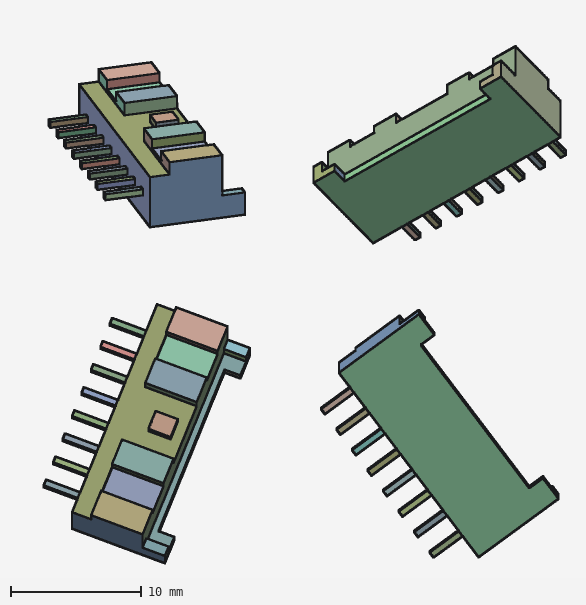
import cadquery as cq

LENGTH = 18.0
HOUSING_DEPTH = 7.67
OVERALL_HEIGHT = 5.3
DECK_HEIGHT = 4.25

MOUTH_DEPTH = 1.84
MOUTH_HEIGHT = 1.89
WALL_THICKNESS = 0.81
FLOOR_THICKNESS = WALL_THICKNESS
FLOOR_NOTCH_DEPTH = 1.31
FLOOR_EAR_WIDTH = 2.02
BODY_DEPTH = HOUSING_DEPTH - MOUTH_DEPTH

BLOCK_WIDTH = 6.55
BLOCK_DEPTH = 4.25
CHANNEL_OFFSET = 2.12
CHANNEL_DEPTH = 0.77
CHANNEL_WIDTH = BLOCK_WIDTH - 2 * CHANNEL_OFFSET

KEY_WIDTH = 1.55
KEY_DEPTH = 1.84
KEY_HEIGHT = 0.58
KEY_FRONT = 3.1

PIN_COUNT = 8
PIN_PITCH = 2.0
PIN_SIZE = 0.5
PIN_LENGTH = 3.02
PIN_CENTRE_HEIGHT = 2.2


def box(width, depth, height, x_centre, y_front, z_bottom):
    """Box centred on x_centre, growing towards +Y and +Z."""
    return (
        cq.Workplane("XY")
        .box(width, depth, height, centered=(True, False, False))
        .translate((x_centre, y_front, z_bottom))
    )


def make_mouth():
    """Open mating end: U-shaped in section, with its floor notched at the rear."""
    shell = box(LENGTH, MOUTH_DEPTH, MOUTH_HEIGHT, 0, BODY_DEPTH, 0)
    opening = box(
        LENGTH - 2 * WALL_THICKNESS, MOUTH_DEPTH, MOUTH_HEIGHT - FLOOR_THICKNESS,
        0, BODY_DEPTH, FLOOR_THICKNESS,
    )
    notch = box(
        LENGTH - 2 * FLOOR_EAR_WIDTH, FLOOR_NOTCH_DEPTH, FLOOR_THICKNESS,
        0, HOUSING_DEPTH - FLOOR_NOTCH_DEPTH, 0,
    )
    return shell.cut(opening).cut(notch)


def make_block(side):
    """Raised block flush with one end of the housing; side is -1 or +1."""
    x_centre = side * (LENGTH - BLOCK_WIDTH) / 2
    y_front = BODY_DEPTH - BLOCK_DEPTH
    block = box(BLOCK_WIDTH, BLOCK_DEPTH, OVERALL_HEIGHT - DECK_HEIGHT, x_centre, y_front, DECK_HEIGHT)
    channel = box(
        CHANNEL_WIDTH, BLOCK_DEPTH, CHANNEL_DEPTH,
        x_centre, y_front, OVERALL_HEIGHT - CHANNEL_DEPTH,
    )
    return block.cut(channel)


def make_pin(index):
    """Square pin standing out of the front face towards -Y."""
    x_centre = (index - (PIN_COUNT - 1) / 2) * PIN_PITCH
    return box(PIN_SIZE, PIN_LENGTH, PIN_SIZE, x_centre, -PIN_LENGTH, PIN_CENTRE_HEIGHT - PIN_SIZE / 2)


result = box(LENGTH, BODY_DEPTH, DECK_HEIGHT, 0, 0, 0).union(make_mouth())

for side in (-1, 1):
    result = result.union(make_block(side))

result = result.union(box(KEY_WIDTH, KEY_DEPTH, KEY_HEIGHT, 0, KEY_FRONT, DECK_HEIGHT))

for index in range(PIN_COUNT):
    result = result.union(make_pin(index))